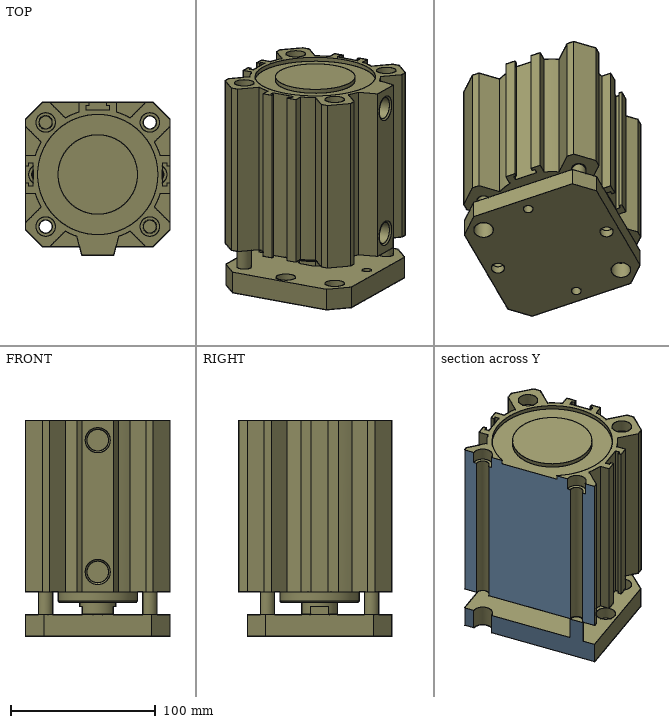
import cadquery as cq

PLATE_THICKNESS = 15.1
PLATE_TO_HOUSING = 15.7
TOTAL_HEIGHT = 149.5
HOUSING_BOTTOM = PLATE_THICKNESS + PLATE_TO_HOUSING
HOUSING_LENGTH = TOTAL_HEIGHT - HOUSING_BOTTOM

SIDE = 100.0
HALF_SIDE = SIDE / 2
CORNER_HOLE_OFFSET = 36.0
CORNERS = [(sx * CORNER_HOLE_OFFSET, sy * CORNER_HOLE_OFFSET) for sx in (-1, 1) for sy in (-1, 1)]

HOUSING_CHAMFER = 11.7
SHELL_DIAMETER = 90.3
CORNER_PAD_WIDTH = 23.6
RAIL_WIDTH = 26.0
SLOT_MOUTH_WIDTH = 12.0
SLOT_LIP = 2.2
SLOT_WIDTH = 16.0
SLOT_DEPTH = 5.2
RAIL_ANGLES = (0, 90, 180)

OVERALL_Y = 106.0
LUG_FACE_Y = HALF_SIDE - OVERALL_Y
LUG_ROOT_Y = -43.2
LUG_FACE_WIDTH = 22.1
LUG_ROOT_WIDTH = 28.9

PORT_DIAMETER = 15.0
PORT_MOUTH_DIAMETER = 17.3
PORT_DEPTH = 15.0
PORT_CHAMFER = (PORT_MOUTH_DIAMETER - PORT_DIAMETER) / 2
PORT_END_DISTANCE = 13.8

RECESS_DIAMETER = 83.3
RECESS_DEPTH = 2.8
COLLAR_DIAMETER = 55.0
COLLAR_LENGTH = 7.5
COLLAR_CHAMFER = 1.0

MOUNT_HOLE_DIAMETER = 9.0
COUNTERBORE_DIAMETER = 13.5
COUNTERBORE_DEPTH = 8.5

ROD_DIAMETER = 25.0
ROD_FLAT_WIDTH = 21.7
ROD_FLAT_LENGTH = 5.5
ROD_END_CHAMFER = 0.3
ROD_LENGTH = PLATE_TO_HOUSING - COLLAR_LENGTH

PLATE_CHAMFER = 12.7
PIN_DIAMETER = 10.0
PLATE_HOLE_RADIUS = 41.1
PLATE_BOLT_DIAMETER = 9.0
DOWEL_DIAMETER = 6.6

PIN_CORNERS = [(x, y) for x, y in CORNERS if x * y < 0]
ACCESS_CORNERS = [(x, y) for x, y in CORNERS if x * y > 0]


def chamfered_block(chamfer, height):
    """Square block on z = 0 with its four vertical edges chamfered."""
    return cq.Workplane("XY").rect(SIDE, SIDE).extrude(height).edges("|Z").chamfer(chamfer)


def corner_pads():
    """Two crossed diagonal bars, trimmed to the chamfered square."""
    bar_length = 2 * SIDE
    pads = cq.Workplane("XY").rect(bar_length, CORNER_PAD_WIDTH).extrude(HOUSING_LENGTH)
    pads = pads.union(pads.rotate((0, 0, 0), (0, 0, 1), 90)).rotate((0, 0, 0), (0, 0, 1), 45)
    return pads.intersect(chamfered_block(HOUSING_CHAMFER, HOUSING_LENGTH))


def rail(angle):
    """Flat rail along the side of the housing that faces angle."""
    block = cq.Workplane("XY").center(HALF_SIDE / 2, 0).rect(HALF_SIDE, RAIL_WIDTH).extrude(HOUSING_LENGTH)
    return block.rotate((0, 0, 0), (0, 0, 1), angle)


def tee_slot(angle):
    """Full-length T-slot cutter for the rail that faces angle."""
    mouth = SLOT_MOUTH_WIDTH / 2
    inner = SLOT_WIDTH / 2
    lip_x = HALF_SIDE - SLOT_LIP
    floor_x = HALF_SIDE - SLOT_DEPTH
    points = [
        (HALF_SIDE, -mouth),
        (lip_x, -mouth),
        (lip_x, -inner),
        (floor_x, -inner),
        (floor_x, inner),
        (lip_x, inner),
        (lip_x, mouth),
        (HALF_SIDE, mouth),
    ]
    slot = cq.Workplane("XY").polyline(points).close().extrude(HOUSING_LENGTH)
    return slot.rotate((0, 0, 0), (0, 0, 1), angle)


def port_lug():
    """Tapered lug that carries the ports."""
    points = [
        (-LUG_ROOT_WIDTH / 2, 0),
        (-LUG_ROOT_WIDTH / 2, LUG_ROOT_Y),
        (-LUG_FACE_WIDTH / 2, LUG_FACE_Y),
        (LUG_FACE_WIDTH / 2, LUG_FACE_Y),
        (LUG_ROOT_WIDTH / 2, LUG_ROOT_Y),
        (LUG_ROOT_WIDTH / 2, 0),
    ]
    return cq.Workplane("XY").polyline(points).close().extrude(HOUSING_LENGTH)


def port(z):
    """Blind port with a chamfered mouth, cut inward from the lug face."""
    mouth_radius = PORT_MOUTH_DIAMETER / 2
    radius = PORT_DIAMETER / 2
    half_section = [
        (0, 0),
        (mouth_radius, 0),
        (radius, PORT_CHAMFER),
        (radius, PORT_DEPTH),
        (0, PORT_DEPTH),
    ]
    cutter = cq.Workplane("XY").polyline(half_section).close().revolve(360, (0, 0), (0, 1))
    return cutter.translate((0, LUG_FACE_Y, z))


def end_recess():
    """Ring-shaped recess that leaves a boss flush with the top face."""
    ring = cq.Workplane("XY").circle(RECESS_DIAMETER / 2).circle(COLLAR_DIAMETER / 2).extrude(RECESS_DEPTH)
    return ring.translate((0, 0, HOUSING_LENGTH - RECESS_DEPTH))


def rod_collar():
    """Chamfered collar that hangs below the housing."""
    collar = cq.Workplane("XY").circle(COLLAR_DIAMETER / 2).extrude(-COLLAR_LENGTH)
    return collar.faces("<Z").chamfer(COLLAR_CHAMFER)


def piston_rod():
    """Rod on z = 0, with a chamfered lower end and two wrench flats above it."""
    rod = cq.Workplane("XY").circle(ROD_DIAMETER / 2).extrude(ROD_LENGTH)
    rod = rod.faces("<Z").chamfer(ROD_END_CHAMFER)
    flat_zone = cq.Workplane("XY").rect(ROD_FLAT_WIDTH, ROD_DIAMETER).extrude(ROD_FLAT_LENGTH)
    full_zone = cq.Workplane("XY").rect(ROD_DIAMETER, ROD_DIAMETER).extrude(ROD_LENGTH)
    full_zone = full_zone.translate((0, 0, ROD_FLAT_LENGTH))
    return rod.intersect(flat_zone.union(full_zone))


def make_cylinder():
    """Extruded housing with its ports, mounting holes, collar and piston rod."""
    body = cq.Workplane("XY").circle(SHELL_DIAMETER / 2).extrude(HOUSING_LENGTH)
    body = body.union(corner_pads()).union(port_lug())
    for angle in RAIL_ANGLES:
        body = body.union(rail(angle)).cut(tee_slot(angle))
    body = body.cut(end_recess())
    for z in (PORT_END_DISTANCE, HOUSING_LENGTH - PORT_END_DISTANCE):
        body = body.cut(port(z))
    body = (
        body.faces(">Z")
        .workplane(origin=(0, 0, HOUSING_LENGTH))
        .pushPoints(CORNERS)
        .cboreHole(MOUNT_HOLE_DIAMETER, COUNTERBORE_DIAMETER, COUNTERBORE_DEPTH)
    )
    rod = piston_rod().translate((0, 0, -COLLAR_LENGTH - ROD_LENGTH))
    return body.union(rod_collar()).union(rod).translate((0, 0, HOUSING_BOTTOM))


def make_guide_plate():
    """Plate against the rod end, with two guide pins that reach the housing underside."""
    plate = chamfered_block(PLATE_CHAMFER, PLATE_THICKNESS)
    top = plate.faces(">Z").workplane(origin=(0, 0, PLATE_THICKNESS))
    plate = top.pushPoints(ACCESS_CORNERS).hole(COUNTERBORE_DIAMETER)
    top = plate.faces(">Z").workplane(origin=(0, 0, PLATE_THICKNESS))
    plate = top.pushPoints([(-PLATE_HOLE_RADIUS, 0), (PLATE_HOLE_RADIUS, 0)]).cboreHole(
        PLATE_BOLT_DIAMETER, COUNTERBORE_DIAMETER, COUNTERBORE_DEPTH
    )
    top = plate.faces(">Z").workplane(origin=(0, 0, PLATE_THICKNESS))
    plate = top.pushPoints([(0, -PLATE_HOLE_RADIUS), (0, PLATE_HOLE_RADIUS)]).hole(DOWEL_DIAMETER)
    pins = cq.Workplane("XY").workplane(offset=PLATE_THICKNESS)
    pins = pins.pushPoints(PIN_CORNERS).circle(PIN_DIAMETER / 2).extrude(PLATE_TO_HOUSING)
    return plate.union(pins)


cylinder = make_cylinder()
guide_plate = make_guide_plate()
result = cq.Compound.makeCompound([cylinder.solids().val(), guide_plate.solids().val()])